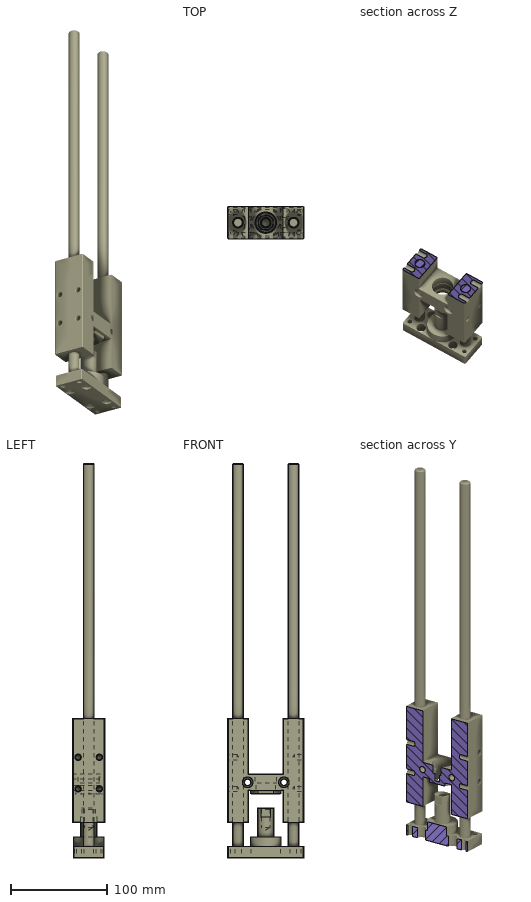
import cadquery as cq
import math

DRILL_POINT_ANGLE = 118.0
TOTAL_HEIGHT = 410.0
LENGTH = 79.0
ROD_DIAMETER = 11.0
ROD_SPACING = 58.0

PLATE_DEPTH = 32.0
PLATE_THICKNESS = 12.0
PLATE_CHAMFER = 1.0
LARGE_HOLE_DIAMETER = 10.0
LARGE_HOLE_SPACING = 40.0
SMALL_HOLE_DIAMETER = 5.0
SMALL_HOLE_SPACING = 69.0
PLATE_HOLE_ROW_SPACING = 20.0
COLLAR_DIAMETER = PLATE_DEPTH
COLLAR_HEIGHT = 10.0
COLLAR_TOP = PLATE_THICKNESS + COLLAR_HEIGHT
STUD_DIAMETER = 17.0
STUD_TOP = 51.5
STUD_FLAT_HEIGHT = 9.0
STUD_ACROSS_FLATS = 14.0
STUD_BORE_DIAMETER = 8.5
STUD_BORE_MOUTH_DIAMETER = 11.0
STUD_BORE_DEPTH = 20.0
ROD_CHAMFER = 1.0

HOUSING_DEPTH = 34.0
HOUSING_BOTTOM = 37.0
HOUSING_HEIGHT = 108.0
HOUSING_TOP = HOUSING_BOTTOM + HOUSING_HEIGHT
HOUSING_CHAMFER = 1.0
ARM_GAP = 36.0
BRIDGE_BOTTOM = 70.0
BRIDGE_HEIGHT = 17.0
BRIDGE_TOP = BRIDGE_BOTTOM + BRIDGE_HEIGHT
HEX_ACROSS_CORNERS = 32.0
HEX_HEIGHT = 3.5
HEX_BOTTOM = BRIDGE_BOTTOM - HEX_HEIGHT
HEX_CHAMFER_HEIGHT = 1.0
HEX_CHAMFER_WIDTH = 1.5
UPPER_BORE_DIAMETER = 22.0
UPPER_BORE_DEPTH = 9.0
LOWER_BORE_DIAMETER = 20.5
HEX_BORE_DIAMETER = 15.0
BOLT_SPACING = 37.7
BOLT_HOLE_DIAMETER = 6.5
BOLT_HEAD_DIAMETER = 11.0
BOLT_HEAD_DEPTH = 6.5
SIDE_HOLE_DIAMETER = 5.5
SIDE_HOLE_MOUTH_DIAMETER = 6.5
SIDE_HOLE_DEPTH = 10.0
SIDE_HOLE_Y_SPACING = 22.0
SIDE_HOLE_Z_SPACING = 33.0
SIDE_HOLE_CENTER_Z = 88.0


def upright_cylinder(diameter, bottom, top):
    return cq.Workplane("XY").workplane(offset=bottom).circle(diameter / 2).extrude(top - bottom)


def upright_box(length, depth, bottom, top):
    return cq.Workplane("XY").workplane(offset=bottom).rect(length, depth).extrude(top - bottom)


def blind_hole(diameter, mouth_diameter, depth):
    """Hole going down from the origin, with a 45 degree countersink and a drill point."""
    radius = diameter / 2
    mouth_radius = mouth_diameter / 2
    countersink_depth = mouth_radius - radius
    point_depth = radius / math.tan(math.radians(DRILL_POINT_ANGLE / 2))
    half_section = [
        (0, 0),
        (mouth_radius, 0),
        (radius, -countersink_depth),
        (radius, -depth),
        (0, -depth - point_depth),
    ]
    return cq.Workplane("XZ").polyline(half_section).close().revolve(360, (0, 0, 0), (0, 1, 0))


def rod_centers():
    return [(side * ROD_SPACING / 2, 0, 0) for side in (-1, 1)]


def make_plate():
    plate = upright_box(LENGTH, PLATE_DEPTH, 0, PLATE_THICKNESS).edges("|Z").chamfer(PLATE_CHAMFER)
    hole_groups = [
        (LARGE_HOLE_DIAMETER, LARGE_HOLE_SPACING),
        (SMALL_HOLE_DIAMETER, SMALL_HOLE_SPACING),
    ]
    for diameter, spacing in hole_groups:
        plate = (
            plate.faces(">Z")
            .workplane(origin=(0, 0, PLATE_THICKNESS))
            .rarray(spacing, PLATE_HOLE_ROW_SPACING, 2, 2)
            .hole(diameter)
        )
    return plate


def make_stud():
    """Round stud with two wrench flats, facing -Y and +Y, and a blind bore in its top."""
    flats_bottom = STUD_TOP - STUD_FLAT_HEIGHT
    stud = upright_cylinder(STUD_DIAMETER, COLLAR_TOP, STUD_TOP)
    flat_band = upright_box(STUD_DIAMETER, STUD_DIAMETER, flats_bottom, STUD_TOP)
    between_flats = upright_box(STUD_DIAMETER, STUD_ACROSS_FLATS, flats_bottom, STUD_TOP)
    stud = stud.cut(flat_band.cut(between_flats))
    bore = blind_hole(STUD_BORE_DIAMETER, STUD_BORE_MOUTH_DIAMETER, STUD_BORE_DEPTH)
    return stud.cut(bore.translate((0, 0, STUD_TOP)))


def make_slide():
    slide = make_plate()
    slide = slide.union(upright_cylinder(COLLAR_DIAMETER, PLATE_THICKNESS, COLLAR_TOP))
    slide = slide.union(make_stud())
    rod = upright_cylinder(ROD_DIAMETER, PLATE_THICKNESS, TOTAL_HEIGHT).faces(">Z").chamfer(ROD_CHAMFER)
    for center in rod_centers():
        slide = slide.union(rod.translate(center))
    return slide


def make_hex_boss():
    """Hexagonal boss whose lower corners are turned off by a shallow cone."""
    boss = (
        cq.Workplane("XY")
        .workplane(offset=HEX_BOTTOM)
        .polygon(6, HEX_ACROSS_CORNERS)
        .extrude(HEX_HEIGHT)
    )
    turned_blank = (
        upright_cylinder(HEX_ACROSS_CORNERS, HEX_BOTTOM, BRIDGE_BOTTOM)
        .faces("<Z")
        .chamfer(HEX_CHAMFER_HEIGHT, HEX_CHAMFER_WIDTH)
    )
    return boss.intersect(turned_blank)


def make_housing_body():
    body = upright_box(LENGTH, HOUSING_DEPTH, HOUSING_BOTTOM, HOUSING_TOP)
    body = body.edges("|Z").chamfer(HOUSING_CHAMFER)
    body = body.cut(upright_box(ARM_GAP, HOUSING_DEPTH, HOUSING_BOTTOM, BRIDGE_BOTTOM))
    body = body.cut(upright_box(ARM_GAP, HOUSING_DEPTH, BRIDGE_TOP, HOUSING_TOP))
    return body.union(make_hex_boss())


def cut_bores(housing):
    """Stepped centre bore through the bridge and boss, and one rod bore through each arm."""
    housing = housing.cut(upright_cylinder(HEX_BORE_DIAMETER, HEX_BOTTOM, BRIDGE_TOP))
    housing = housing.cut(upright_cylinder(LOWER_BORE_DIAMETER, BRIDGE_BOTTOM, BRIDGE_TOP))
    upper_bore = upright_cylinder(UPPER_BORE_DIAMETER, BRIDGE_TOP - UPPER_BORE_DEPTH, BRIDGE_TOP)
    housing = housing.cut(upper_bore)
    rod_bore = upright_cylinder(ROD_DIAMETER, HOUSING_BOTTOM, HOUSING_TOP)
    for center in rod_centers():
        housing = housing.cut(rod_bore.translate(center))
    return housing


def cut_bolt_holes(housing):
    """Counterbored through holes along Y at both ends of the bridge."""
    return (
        housing.faces("<Y")
        .workplane(origin=(0, 0, (BRIDGE_BOTTOM + BRIDGE_TOP) / 2))
        .rarray(BOLT_SPACING, 4, 2, 1)
        .cboreHole(BOLT_HOLE_DIAMETER, BOLT_HEAD_DIAMETER, BOLT_HEAD_DEPTH)
    )


def cut_side_holes(housing):
    """Four blind holes in the outer face of each arm."""
    hole = blind_hole(SIDE_HOLE_DIAMETER, SIDE_HOLE_MOUTH_DIAMETER, SIDE_HOLE_DEPTH)
    for side in (-1, 1):
        hole_into_arm = hole.rotate((0, 0, 0), (0, 1, 0), side * 90)
        for row in (-1, 1):
            for level in (-1, 1):
                y = row * SIDE_HOLE_Y_SPACING / 2
                z = SIDE_HOLE_CENTER_Z + level * SIDE_HOLE_Z_SPACING / 2
                housing = housing.cut(hole_into_arm.translate((side * LENGTH / 2, y, z)))
    return housing


slide = make_slide()
housing = make_housing_body()
housing = cut_bores(housing)
housing = cut_bolt_holes(housing)
housing = cut_side_holes(housing)

result = cq.Compound.makeCompound([slide.solids().val(), housing.solids().val()])